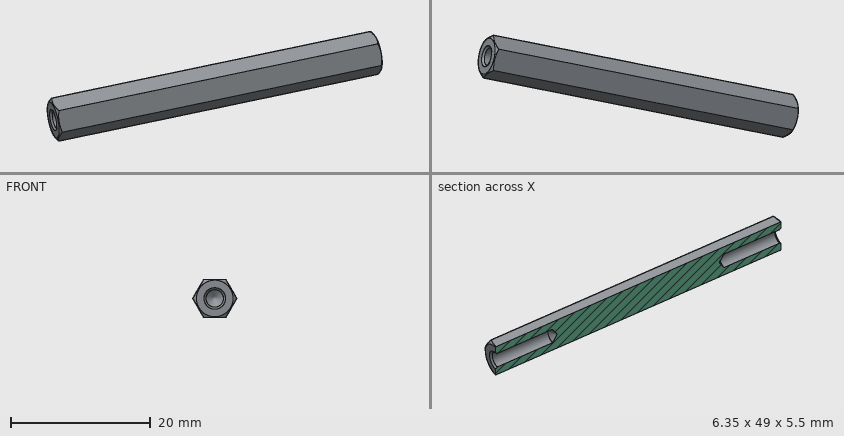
import cadquery as cq
import math

length = 49.0
across_flats = 5.5
across_corners = across_flats / math.cos(math.pi / 6)

end_face_diameter = 5.25
corner_chamfer_angle = 30.0

hole_diameter = 2.5
mouth_diameter = 3.1
hole_depth = 9.8
drill_point_angle = 118.0


def hexagonal_bar():
    """Hexagon with flats facing +Z and -Z, centred on the origin."""
    return (
        cq.Workplane("XZ")
        .polygon(6, across_corners)
        .extrude(length / 2, both=True)
    )


def corner_chamfer_envelope():
    """Round bar with coned ends; its overlap with the hexagon bevels the corners."""
    end_radius = end_face_diameter / 2
    outer_radius = across_corners / 2
    cone_length = (outer_radius - end_radius) * math.tan(math.radians(corner_chamfer_angle))
    half = length / 2
    return (
        cq.Workplane("XY")
        .moveTo(0, -half)
        .lineTo(end_radius, -half)
        .lineTo(outer_radius, cone_length - half)
        .lineTo(outer_radius, half - cone_length)
        .lineTo(end_radius, half)
        .lineTo(0, half)
        .close()
        .revolve(360, (0, 0), (0, 1))
    )


def blind_hole():
    """Tool for the hole that opens in the -Y end."""
    hole_radius = hole_diameter / 2
    mouth_radius = mouth_diameter / 2
    countersink_depth = mouth_radius - hole_radius
    point_length = hole_radius / math.tan(math.radians(drill_point_angle / 2))
    face = -length / 2
    return (
        cq.Workplane("XY")
        .moveTo(0, face)
        .lineTo(mouth_radius, face)
        .lineTo(hole_radius, face + countersink_depth)
        .lineTo(hole_radius, face + hole_depth)
        .lineTo(0, face + hole_depth + point_length)
        .close()
        .revolve(360, (0, 0), (0, 1))
    )


front_hole = blind_hole()
back_hole = front_hole.mirror("XZ")

result = (
    hexagonal_bar()
    .intersect(corner_chamfer_envelope())
    .cut(front_hole)
    .cut(back_hole)
)